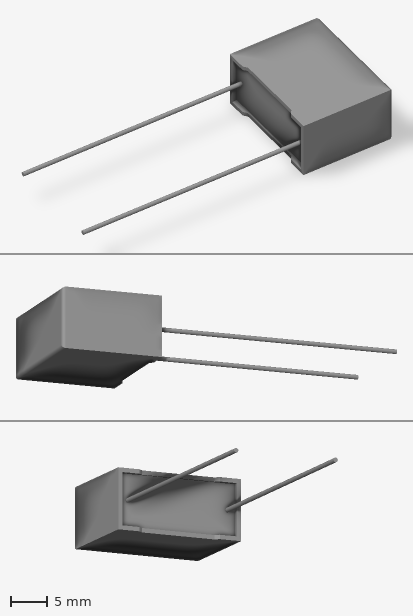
import cadquery as cq


width = 18.5
height = 8.71
length = 14.6
wall = 0.62
back_radius = 0.5

notch_margin = 3.2
notch_depth = 0.5
notch_slope_run = 0.6

fill_recess = 0.75

lead_pitch = 15.0
lead_diameter = 0.64
lead_length = 35.0

cavity_width = width - 2 * wall
cavity_height = height - 2 * wall
cavity_depth = length - wall


def make_block(size_x, size_z, y_start, y_end):
    """Box centred on X and Z that spans y_start to y_end."""
    middle = (y_start + y_end) / 2
    return cq.Workplane("XY").box(size_x, y_end - y_start, size_z).translate((0, middle, 0))


def make_notch_cutter():
    """Trapezoid prism that relieves both long mouth edges."""
    half_mouth = width / 2 - notch_margin
    half_floor = half_mouth - notch_slope_run
    outline = [
        (-half_mouth, 0),
        (-half_floor, notch_depth),
        (half_floor, notch_depth),
        (half_mouth, 0),
    ]
    return cq.Workplane("XY").polyline(outline).close().extrude(height / 2, both=True)


def make_shell():
    """Open box with rounded back edges and a relieved mouth."""
    outside = make_block(width, height, 0, length)
    outside = outside.faces(">Y").edges().fillet(back_radius)
    cavity = make_block(cavity_width, cavity_height, 0, cavity_depth)
    return outside.cut(cavity).cut(make_notch_cutter())


def make_lead(x):
    """Straight round wire that ends flush against the fill."""
    wire = cq.Workplane("XZ").circle(lead_diameter / 2).extrude(lead_length + fill_recess)
    return wire.translate((x, fill_recess, 0))


shell = make_shell()
fill = make_block(cavity_width, cavity_height, fill_recess, cavity_depth)
leads = [make_lead(side * lead_pitch / 2) for side in (-1, 1)]

result = cq.Compound.makeCompound([shell.val(), fill.val(), *[lead.val() for lead in leads]])